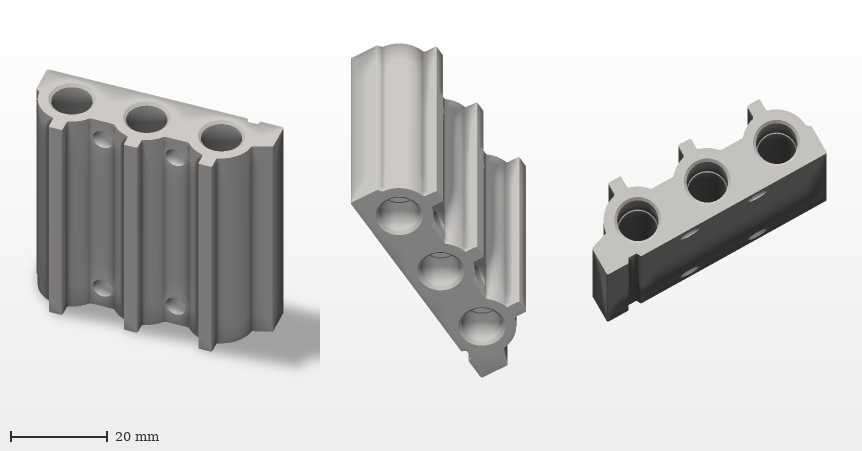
import cadquery as cq

length = 52.1
depth = 16.8
height = 51.0

middle_port_x = 24.5
port_pitch = 16.45
port_y = -6.95
port_xs = [middle_port_x + i * port_pitch for i in (-1, 0, 1)]
bore_diameter = 8.0
port_diameter = 8.55
port_depth = 10.4
mouth_diameter = 9.75
mouth_chamfer = (mouth_diameter - port_diameter) / 2
lobe_radius = 7.1

web_y = -11.3
side_face_y = -6.45
left_root = (1.0, -7.25)
right_root = (48.05, -7.8)

rib_width = 3.0
middle_rib_setback = 0.2

groove_x = 45.6
groove_top_width = 2.9
groove_floor_width = 1.95
groove_depth = 1.0

hole_diameter = 4.5
hole_spacing_x = 16.05
hole_end_distance = 5.0

concave_fillet = 0.5
side_fillet = 0.5
back_fillet = 0.35
rib_tip_fillet = 0.3


def make_plate():
    outline = [
        (0, 0),
        (length, 0),
        (length, side_face_y),
        right_root,
        (port_xs[-1], port_y),
        (port_xs[-1], web_y),
        (port_xs[0], web_y),
        (port_xs[0], port_y),
        left_root,
        (0, side_face_y),
    ]
    plate = cq.Workplane("XY").polyline(outline).close().extrude(height)
    plate = plate.edges("|Z and >Y").fillet(back_fillet)
    for x in (0, length):
        corner = cq.selectors.NearestToPointSelector((x, side_face_y, height / 2))
        plate = plate.edges(corner).fillet(side_fillet)
    return plate


def make_lobe(x):
    """Half cylinder bulging toward -Y around a port."""
    return (
        cq.Workplane("XY")
        .moveTo(x - lobe_radius, port_y)
        .threePointArc((x, port_y - lobe_radius), (x + lobe_radius, port_y))
        .close()
        .extrude(height)
    )


def make_rib(x, tip_y):
    return (
        cq.Workplane("XY")
        .center(x, (port_y + tip_y) / 2)
        .rect(rib_width, port_y - tip_y)
        .extrude(height)
        .edges("|Z and <Y")
        .fillet(rib_tip_fillet)
    )


def fillet_concave_corners(body):
    """Round the corners where lobes meet the ribs and the webs."""
    half_rib = rib_width / 2
    rib_root_y = port_y - (lobe_radius**2 - half_rib**2) ** 0.5
    half_web_chord = (lobe_radius**2 - (port_y - web_y) ** 2) ** 0.5
    corners = []
    for x in port_xs:
        corners += [(x - half_rib, rib_root_y), (x + half_rib, rib_root_y)]
    for left_x, right_x in zip(port_xs, port_xs[1:]):
        corners += [(left_x + half_web_chord, web_y), (right_x - half_web_chord, web_y)]
    for x, y in corners:
        corner = cq.selectors.NearestToPointSelector((x, y, height / 2))
        body = body.edges(corner).fillet(concave_fillet)
    return body


def make_port(x):
    """Cutter: through bore, wider at both ends, with chamfered mouths."""
    bore = cq.Workplane("XY").center(x, port_y).circle(bore_diameter / 2).extrude(height)
    port_profile = [
        (0, 0),
        (mouth_diameter / 2, 0),
        (port_diameter / 2, mouth_chamfer),
        (port_diameter / 2, port_depth),
        (0, port_depth),
    ]
    lower_end = (
        cq.Workplane("XZ")
        .polyline(port_profile)
        .close()
        .revolve(360, (0, 0), (0, 1))
        .translate((x, port_y, 0))
    )
    upper_end = lower_end.mirror("XY", (0, 0, height / 2))
    return bore.union(lower_end).union(upper_end)


def make_groove():
    outline = [
        (groove_x - groove_top_width / 2, 0),
        (groove_x + groove_top_width / 2, 0),
        (groove_x + groove_floor_width / 2, -groove_depth),
        (groove_x - groove_floor_width / 2, -groove_depth),
    ]
    return cq.Workplane("XY").polyline(outline).close().extrude(height)


def make_mounting_holes():
    spacing_z = height - 2 * hole_end_distance
    return (
        cq.Workplane("XZ", origin=(middle_port_x, 0, height / 2))
        .rarray(hole_spacing_x, spacing_z, 2, 2)
        .circle(hole_diameter / 2)
        .extrude(depth)
    )


body = make_plate()
for x in port_xs:
    tip_y = -depth
    if x == middle_port_x:
        tip_y += middle_rib_setback
    body = body.union(make_lobe(x)).union(make_rib(x, tip_y))
body = fillet_concave_corners(body)

for x in port_xs:
    body = body.cut(make_port(x))
body = body.cut(make_groove())

result = body.cut(make_mounting_holes())